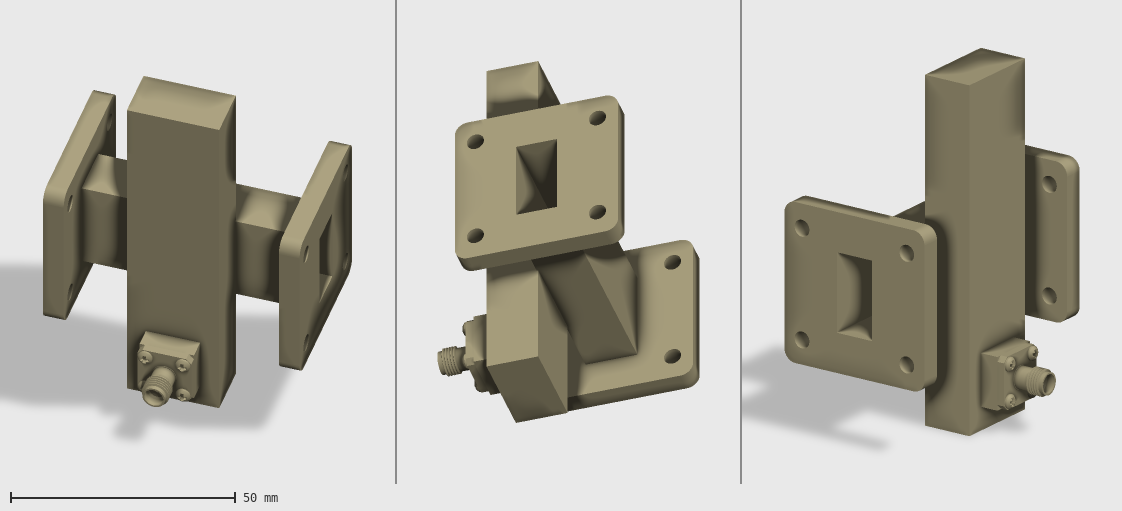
import cadquery as cq
import math

GUIDE_LENGTH = 60.0
WINDOW_Y = 9.525
WINDOW_Z = 19.05
WALL = 1.27
GUIDE_Y = WINDOW_Y + 2 * WALL
GUIDE_Z = WINDOW_Z + 2 * WALL

FLANGE_SIDE = 38.1
FLANGE_THICKNESS = 4.85
FLANGE_CORNER_RADIUS = 3.0
FLANGE_HOLE_DIAMETER = 4.0
FLANGE_HOLE_SPACING_Y = 28.5
FLANGE_HOLE_SPACING_Z = 26.42

ARM_X = GUIDE_Z
ARM_Y = GUIDE_Y
ARM_LENGTH = 83.0
ARM_OVERLAP = 0.35
ARM_BACK = -GUIDE_Y / 2 + ARM_OVERLAP
ARM_FRONT = ARM_BACK - ARM_Y
ARM_CENTER_Z = 6.5
CAP_THICKNESS = 1.5

CONNECTOR_Z = -22.9
OVERALL_DEPTH = 50.87
CONNECTOR_TIP = FLANGE_SIDE / 2 - OVERALL_DEPTH
BLOCK_SIDE = 12.7
BLOCK_Z = -23.0
BLOCK_DEPTH = 4.5
PLATE_SIDE = 12.6
PLATE_THICKNESS = 1.8
PLATE_CHAMFER = 1.2
BLOCK_FRONT = ARM_FRONT - BLOCK_DEPTH
PLATE_FRONT = BLOCK_FRONT - PLATE_THICKNESS
BARREL_DIAMETER = 5.33
COLLAR_DIAMETER = 5.7
COLLAR_LENGTH = 0.2
BARREL_LENGTH = PLATE_FRONT - CONNECTOR_TIP
THREAD_DIAMETER = 6.35
THREAD_PITCH = 0.66
THREAD_CREST_WIDTH = 0.18
THREAD_ROOT_WIDTH = 0.12
THREAD_RIDGES = 5
THREAD_TIP_GAP = 0.95
BORE_DIAMETER = 4.52
BORE_FLOOR_DIAMETER = 3.7
BORE_DEPTH = 2.6
BORE_TAPER_DEPTH = 0.5
CONTACT_DIAMETER = 1.27
CONTACT_HOLE_DIAMETER = 0.94
CONTACT_PROTRUSION = 0.1
CONTACT_HOLE_DEPTH = 1.5

SCREW_SPACING = 8.8
SCREW_HEAD_DIAMETER = 3.39
SCREW_HEAD_HEIGHT = 1.3
SCREW_RIM_HEIGHT = 0.45
RECESS_SPAN = 2.5
RECESS_FLOOR_SPAN = 1.19
RECESS_WIDTH = 0.85
RECESS_DEPTH = 1.0


def box_between(size_x, size_z, y_back, y_front, center_z):
    """Box centred on X = 0 that spans y_front to y_back."""
    box = cq.Workplane("XY").box(size_x, y_back - y_front, size_z)
    return box.translate((0, (y_back + y_front) / 2, center_z))


def make_flange(x_start):
    flange = cq.Workplane("YZ", origin=(x_start, 0, 0)).rect(FLANGE_SIDE, FLANGE_SIDE)
    flange = flange.extrude(FLANGE_THICKNESS).edges("|X").fillet(FLANGE_CORNER_RADIUS)
    holes = cq.Workplane("YZ", origin=(x_start, 0, 0))
    holes = holes.rect(FLANGE_HOLE_SPACING_Y, FLANGE_HOLE_SPACING_Z, forConstruction=True).vertices()
    return flange.cut(holes.circle(FLANGE_HOLE_DIAMETER / 2).extrude(FLANGE_THICKNESS))


def make_arm_middle():
    return box_between(ARM_X, ARM_LENGTH - 2 * CAP_THICKNESS, ARM_BACK, ARM_FRONT, ARM_CENTER_Z)


def add_caps(body):
    """Close the arm ends; the faces are left unmerged so that the cap joints stay as edges."""
    cap_offset = (ARM_LENGTH - CAP_THICKNESS) / 2
    for side in (-1, 1):
        cap_z = ARM_CENTER_Z + side * cap_offset
        cap = box_between(ARM_X, CAP_THICKNESS, ARM_BACK, ARM_FRONT, cap_z)
        body = body.union(cap, clean=False)
    return body


def make_connector_base():
    block = box_between(BLOCK_SIDE, BLOCK_SIDE, ARM_FRONT, BLOCK_FRONT, BLOCK_Z)
    plate = box_between(PLATE_SIDE, PLATE_SIDE, BLOCK_FRONT, PLATE_FRONT, CONNECTOR_Z)
    return block.union(plate.edges("|Y").chamfer(PLATE_CHAMFER))


def revolved(profile):
    """Solid of revolution about Z from (radius, height) points."""
    return cq.Workplane("XZ").polyline(profile).close().revolve(360, (0, 0), (0, 1))


def make_barrel():
    """Barrel along +Z with base collar, ring-shaped thread ridges, open bore and contact."""
    barrel_radius = BARREL_DIAMETER / 2
    collar_radius = COLLAR_DIAMETER / 2
    crest_radius = THREAD_DIAMETER / 2
    flank = (THREAD_PITCH - THREAD_CREST_WIDTH - THREAD_ROOT_WIDTH) / 2
    thread_start = BARREL_LENGTH - THREAD_TIP_GAP - THREAD_RIDGES * THREAD_PITCH

    profile = [(0, 0), (collar_radius, 0), (collar_radius, COLLAR_LENGTH), (barrel_radius, COLLAR_LENGTH)]
    for ridge in range(THREAD_RIDGES):
        foot = thread_start + ridge * THREAD_PITCH + THREAD_ROOT_WIDTH / 2
        crest = foot + flank
        profile.append((barrel_radius, foot))
        profile.append((crest_radius, crest))
        profile.append((crest_radius, crest + THREAD_CREST_WIDTH))
        profile.append((barrel_radius, crest + THREAD_CREST_WIDTH + flank))
    profile += [(barrel_radius, BARREL_LENGTH), (0, BARREL_LENGTH)]

    bore_radius = BORE_DIAMETER / 2
    bore_floor = BARREL_LENGTH - BORE_DEPTH
    bore = revolved([
        (0, bore_floor),
        (BORE_FLOOR_DIAMETER / 2, bore_floor),
        (bore_radius, bore_floor + BORE_TAPER_DEPTH),
        (bore_radius, BARREL_LENGTH),
        (0, BARREL_LENGTH),
    ])
    contact = cq.Workplane("XY", origin=(0, 0, bore_floor))
    contact = contact.circle(CONTACT_DIAMETER / 2).extrude(CONTACT_PROTRUSION)
    contact_hole = cq.Workplane("XY", origin=(0, 0, bore_floor + CONTACT_PROTRUSION))
    contact_hole = contact_hole.circle(CONTACT_HOLE_DIAMETER / 2).extrude(-CONTACT_HOLE_DEPTH)
    return revolved(profile).cut(bore).union(contact).cut(contact_hole)


def make_screw_head():
    """Domed head along +Z with a cross recess whose arms slope down to a small floor."""
    radius = SCREW_HEAD_DIAMETER / 2
    dome_height = SCREW_HEAD_HEIGHT - SCREW_RIM_HEIGHT
    dome_radius = (radius**2 + dome_height**2) / (2 * dome_height)
    half_way = radius / 2
    half_way_drop = dome_radius - math.sqrt(dome_radius**2 - half_way**2)
    head = cq.Workplane("XZ").lineTo(radius, 0).lineTo(radius, SCREW_RIM_HEIGHT)
    head = head.threePointArc((half_way, SCREW_HEAD_HEIGHT - half_way_drop), (0, SCREW_HEAD_HEIGHT))
    head = head.close().revolve(360, (0, 0), (0, 1))

    floor = SCREW_HEAD_HEIGHT - RECESS_DEPTH
    slot = cq.Workplane("XZ").polyline([
        (-RECESS_FLOOR_SPAN / 2, floor),
        (RECESS_FLOOR_SPAN / 2, floor),
        (RECESS_SPAN / 2, SCREW_HEAD_HEIGHT),
        (-RECESS_SPAN / 2, SCREW_HEAD_HEIGHT),
    ])
    slot = slot.close().extrude(RECESS_WIDTH / 2, both=True)
    return head.cut(slot).cut(slot.rotate((0, 0, 0), (0, 0, 1), 90))


def facing_front(shape):
    """Turn a shape built along +Z so that it points to -Y."""
    return shape.rotate((0, 0, 0), (1, 0, 0), 90)


def add_screws(body):
    head = facing_front(make_screw_head())
    for side_x in (-1, 1):
        for side_z in (-1, 1):
            x = side_x * SCREW_SPACING / 2
            z = CONNECTOR_Z + side_z * SCREW_SPACING / 2
            body = body.union(head.translate((x, PLATE_FRONT, z)))
    return body


def make_part():
    body = cq.Workplane("XY").box(GUIDE_LENGTH, GUIDE_Y, GUIDE_Z)
    for x_start in (-GUIDE_LENGTH / 2, GUIDE_LENGTH / 2 - FLANGE_THICKNESS):
        body = body.union(make_flange(x_start))
    body = body.union(make_arm_middle())
    body = body.cut(cq.Workplane("XY").box(GUIDE_LENGTH, WINDOW_Y, WINDOW_Z))
    body = body.union(make_connector_base())
    body = body.union(facing_front(make_barrel()).translate((0, PLATE_FRONT, CONNECTOR_Z)))
    return add_caps(add_screws(body))


result = make_part()